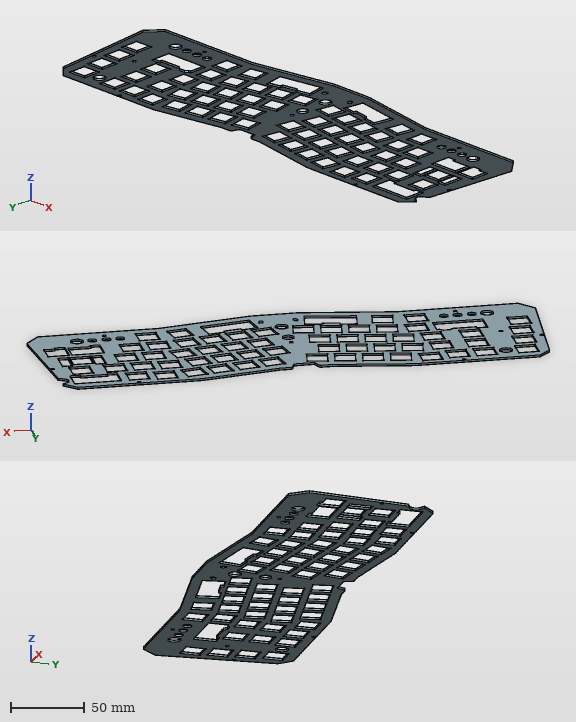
import cadquery as cq
import math


length = 354.8
width = 117.0
thickness = 1.5

tilt = 10.0
row_count = 5
row_span = 76.3
key_pitch = row_span / (row_count - 1)
key_web = 5.0
switch_size = key_pitch - key_web
corner_relief = 0.5

straight_top_row_y = 44.0
tilted_top_row_v = 30.0

half_length = length / 2
half_width = width / 2
cut_height = 3 * thickness
tilt_slope = math.tan(math.radians(tilt))


def row_y(row):
    return straight_top_row_y - row * key_pitch


def row_v(row):
    return tilted_top_row_v - row * key_pitch


def cutter_box(x_min, x_max, y_min, y_max):
    return (
        cq.Workplane("XY")
        .center((x_min + x_max) / 2, (y_min + y_max) / 2)
        .rect(x_max - x_min, y_max - y_min)
        .extrude(cut_height, both=True)
        .val()
    )


def cutter_prism(points):
    return cq.Workplane("XY").polyline(points).close().extrude(cut_height, both=True).val()


def hole(x, y, diameter):
    return cq.Workplane("XY").center(x, y).circle(diameter / 2).extrude(cut_height, both=True).val()


def make_switch_cutter():
    half = switch_size / 2
    corners = [(-half, -half), (half, -half), (half, half), (-half, half)]
    square = cq.Workplane("XY").rect(switch_size, switch_size).extrude(cut_height, both=True)
    reliefs = cq.Workplane("XY").pushPoints(corners).circle(corner_relief).extrude(cut_height, both=True)
    return square.union(reliefs).val()


switch_cutter = make_switch_cutter()


def switch(x, y):
    return switch_cutter.moved(cq.Location(cq.Vector(x, y, 0)))


def tilted(cutter, side):
    """Turn a cutter into the right (side=1) or left (side=-1) tilted block."""
    if side < 0:
        cutter = cutter.mirror("YZ")
    return cutter.rotate(cq.Vector(0, 0, 0), cq.Vector(0, 0, 1), side * tilt)


top_bend_x = 74.0
bottom_bend_x = 16.5
bottom_wing_y = -47.0
shoulder_x = 18.5
notch_top_x = 9.5
notch_floor_x = 7.0
notch_floor_y = 42.2
notch_fillet = 1.8
top_corner = (161.0, 169.5, 50.0)
bottom_corner = (167.5, -35.0)


def make_plate():
    shoulder_y = half_width - (top_bend_x - shoulder_x) * tilt_slope
    bottom_slope_x = bottom_bend_x + (bottom_wing_y + half_width) / tilt_slope
    right_half = [
        (notch_floor_x, notch_floor_y),
        (notch_top_x, shoulder_y),
        (shoulder_x, shoulder_y),
        (top_bend_x, half_width),
        (top_corner[0], half_width),
        (top_corner[1], top_corner[2]),
        (half_length, bottom_corner[1]),
        (bottom_corner[0], bottom_wing_y),
        (bottom_slope_x, bottom_wing_y),
        (bottom_bend_x, -half_width),
    ]
    left_half = [(-x, y) for x, y in reversed(right_half)]
    plate = cq.Workplane("XY").polyline(right_half + left_half).close().extrude(thickness)
    box_half_x = notch_top_x + notch_fillet
    upper_notch_corners = cq.selectors.BoxSelector(
        (-box_half_x, shoulder_y - notch_fillet, -thickness),
        (box_half_x, shoulder_y + notch_fillet, 2 * thickness),
    )
    return plate.edges("|Z").edges(upper_notch_corners).fillet(notch_fillet)


straight_keys = {
    0: [-155.0, -126.0, -106.8, 116.5],
    1: [-157.2, -124.2, -99.5, 109.0, 128.0, 152.0],
    2: [-159.3, -124.2, -97.2, 97.2, 116.5, 147.5],
    3: [-161.5, -90.0, 90.0, 109.0, 161.5],
    4: [-93.5, 93.5],
}
lifted_keys = [(-87.5, 0, 2.02), (97.2, 0, 2.02), (90.0, 1, 1.0)]

tilted_row_length = 4
right_row_starts = [26.3, 15.5, 19.5, 9.0]
left_row_starts = [16.5, 25.2, 19.5, 9.0]
thumb_key_u = 63.5


def straight_switches():
    cutters = [switch(x, row_y(row)) for row, xs in straight_keys.items() for x in xs]
    cutters += [switch(x, row_y(row) + lift) for x, row, lift in lifted_keys]
    return cutters


def tilted_switches():
    cutters = []
    for side, starts in ((1, right_row_starts), (-1, left_row_starts)):
        for row, start in enumerate(starts):
            for column in range(tilted_row_length):
                cutters.append(tilted(switch(start + column * key_pitch, row_v(row)), side))
        cutters.append(tilted(switch(thumb_key_u, row_v(row_count - 1)), side))
    return cutters


wing_depth = 2.0
half_switch = switch_size / 2


def wide_opening(x_min, x_max, y, wings, wing_side):
    """Opening of switch height with wings (x ranges) on its upper (1) or lower (-1) edge."""
    cutters = [cutter_box(x_min, x_max, y - half_switch, y + half_switch)]
    for wing_min, wing_max in wings:
        edge = y + wing_side * (half_switch + wing_depth)
        cutters.append(cutter_box(wing_min, wing_max, min(y, edge), max(y, edge)))
    return cutters


space_center_u = 28.0
space_length = 36.0
space_wing_length = 11.7


def space_bars():
    u_min = space_center_u - space_length / 2
    u_max = space_center_u + space_length / 2
    wings = [(u_min, u_min + space_wing_length), (u_max - space_wing_length, u_max)]
    cutters = wide_opening(u_min, u_max, row_v(row_count - 1), wings, 1)
    return [tilted(cutter, side) for side in (1, -1) for cutter in cutters]


tapered_wing_x = -109.0
tapered_wing_base = 9.0
tapered_wing_top = 5.0


def tapered_wing():
    """Right wing of the left shift opening, narrowing towards its top."""
    base_y = row_y(3) + half_switch
    half_base = tapered_wing_base / 2
    half_top = tapered_wing_top / 2
    return cutter_prism([
        (tapered_wing_x - half_base, base_y),
        (tapered_wing_x + half_base, base_y),
        (tapered_wing_x + half_top, base_y + wing_depth),
        (tapered_wing_x - half_top, base_y + wing_depth),
    ])


def wide_keys():
    backspace = wide_opening(129.0, 161.8, row_y(0), [(129.0, 136.0), (154.7, 161.8)], -1)
    left_shift = wide_opening(-137.5, -102.5, row_y(3), [(-137.5, -130.2)], 1)
    left_shift.append(tapered_wing())
    right_shift = wide_opening(129.0, 152.0, row_y(3), [(129.0, 136.0)], -1)
    fn_key = wide_opening(153.5, 161.5, row_y(3), [(153.5, 160.7)], -1)
    return backspace + left_shift + right_shift + fn_key


enter_x = 147.5
enter_slot_offset = 11.7
enter_slot_width = 7.0
enter_slot_y = (-1.5, 15.0)


def enter_slots():
    cutters = []
    for side in (-1, 1):
        x = enter_x + side * enter_slot_offset
        cutters.append(cutter_box(x - enter_slot_width / 2, x + enter_slot_width / 2, *enter_slot_y))
    return cutters


screw_diameter = 2.4
screw_points = [
    (-170.5, 18.8), (170.5, 18.8), (-144.8, 6.0), (0, -1.0),
    (-122.5, -39.7), (122.5, -39.7), (-108.5, 56.8), (118.0, 56.8),
]
standoff_diameter = 6.0
standoff_xs = [113.0, 122.5, 132.5]
large_diameter = 9.0
medium_diameter = 8.0
bottom_hole_y = -32.3
bottom_hole_x = 143.0
left_key_hole = (-140.5, 44.0)
lower_center_hole_y = -33.5
upper_center_hole_y = -11.5
edge_notch_x = 169.0
edge_notch_y = 44.0
notch_flank_angle = 30.0


def round_holes():
    cutters = [hole(x, y, screw_diameter) for x, y in screw_points]
    for side in (-1, 1):
        cutters += [hole(side * x, bottom_hole_y, standoff_diameter) for x in standoff_xs]
        cutters.append(hole(side * bottom_hole_x, bottom_hole_y, large_diameter))
    cutters.append(hole(*left_key_hole, large_diameter))
    cutters.append(hole(0, lower_center_hole_y, large_diameter))
    cutters.append(hole(0, upper_center_hole_y, medium_diameter))
    return cutters


def edge_notch():
    """Round bite in the right edge, opening outwards between two tangent flanks."""
    radius = large_diameter / 2
    flank = math.radians(notch_flank_angle)
    tangent_x = edge_notch_x - radius * math.sin(flank)
    tangent_rise = radius * math.cos(flank)
    mouth_rise = tangent_rise + (half_length - tangent_x) * math.tan(flank)
    mouth = [
        (tangent_x, edge_notch_y - tangent_rise),
        (half_length, edge_notch_y - mouth_rise),
        (half_length, edge_notch_y + mouth_rise),
        (tangent_x, edge_notch_y + tangent_rise),
    ]
    return [hole(edge_notch_x, edge_notch_y, large_diameter), cutter_prism(mouth)]


slot_x = 12.0
slot_y = -45.0
slot_length = 4.3
slot_width = 3.0
slot_angle = 70.0


def center_slots():
    return [
        cq.Workplane("XY")
        .center(side * slot_x, slot_y)
        .slot2D(slot_length, slot_width, side * slot_angle)
        .extrude(cut_height, both=True)
        .val()
        for side in (-1, 1)
    ]


cutters = (
    straight_switches() + tilted_switches() + space_bars() + wide_keys()
    + enter_slots() + round_holes() + edge_notch() + center_slots()
)
result = cq.Workplane("XY").newObject([make_plate().val().cut(*cutters)])